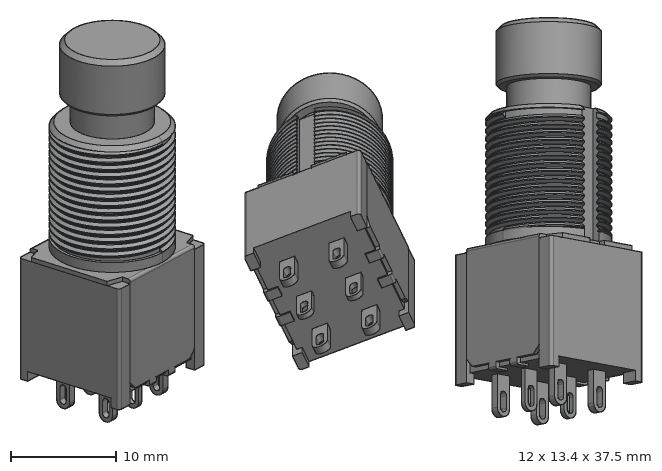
import cadquery as cq

HOUSING_X = 12.0
HOUSING_Y = 13.4
LEG_BOTTOM_Z = 3.0
BASE_Z = 4.0
LEG_X = 1.0
CORNER_RADIUS = 0.3

SHEET = 0.45
BRACKET_TOP_Z = 16.0
FLANGE_Y = 10.0
FLANGE_BOTTOM_Z = 4.45
FLANGE_CHAMFER = 0.8
BEND_RADIUS = 0.3
CUTOUT_INNER_X = 5.05
CUTOUT_OUTER_X = 4.55
TAB_Y = 1.0
TAB_SPACING = 2.92
TAB_X = 1.5
TAB_THICKNESS = 0.22

THREAD_DIAMETER = 12.0
THREAD_DEPTH = 0.35
THREAD_PITCH = 0.75
THREAD_TURNS = 15.0
THREAD_ROOT_WIDTH = 0.65
THREAD_CREST_WIDTH = 0.1
THREAD_OVERLAP = 0.05
COLLAR_HEIGHT = 1.0
BUSHING_LENGTH = 12.98
BUSHING_CHAMFER = 0.45
KEYWAY_WIDTH = 1.88
KEYWAY_FLOOR_Y = 5.15
KEY_NOTCH_Y = 6.05

TOTAL_HEIGHT = 37.5
BUTTON_DIAMETER = 10.0
BUTTON_BOTTOM_Z = 31.72
BUTTON_TOP_CHAMFER = 0.5
BUTTON_BOTTOM_CHAMFER = 0.25
STEM_DIAMETER = 8.0

TERMINAL_WIDTH = 1.58
TERMINAL_COLUMN_X = 2.55
TERMINAL_ROW_Y = 3.95
OUTER_TERMINAL_THICKNESS = 0.8
MIDDLE_TERMINAL_THICKNESS = 0.52
EYE_WIDTH = 0.75
EYE_BOTTOM_Z = 0.45
EYE_TOP_Z = 2.45

HOUSING_TOP_Z = BRACKET_TOP_Z - SHEET
BUSHING_TOP_Z = BRACKET_TOP_Z + BUSHING_LENGTH


def box(size_x, size_y, z_bottom, z_top, center=(0, 0)):
    """Upright box between two heights, centred on a point in plan."""
    return (
        cq.Workplane("XY", origin=(*center, z_bottom))
        .rect(size_x, size_y)
        .extrude(z_top - z_bottom)
    )


def cylinder(diameter, z_bottom, z_top):
    """Upright cylinder on the main axis."""
    return cq.Workplane("XY", origin=(0, 0, z_bottom)).circle(diameter / 2).extrude(z_top - z_bottom)


def make_housing():
    """Block with four corner legs and a shallow recess for each bracket flange."""
    block = box(HOUSING_X, HOUSING_Y, LEG_BOTTOM_Z, HOUSING_TOP_Z).edges("|Z").fillet(CORNER_RADIUS)

    between_legs_x = box(HOUSING_X - 2 * LEG_X, HOUSING_Y, LEG_BOTTOM_Z, BASE_Z)
    between_legs_y = box(HOUSING_X, FLANGE_Y, LEG_BOTTOM_Z, BASE_Z)
    block = block.cut(between_legs_x).cut(between_legs_y)

    for side in (-1, 1):
        flange_center = (side * (HOUSING_X - SHEET) / 2, 0)
        block = block.cut(box(SHEET, FLANGE_Y, BASE_Z, HOUSING_TOP_Z, flange_center))
    return block


def make_bracket_flange(side):
    """Side flange with chamfered lower corners and two tabs folded under the base."""
    center_x = side * (HOUSING_X - SHEET) / 2
    flange = (
        box(SHEET, FLANGE_Y, FLANGE_BOTTOM_Z, HOUSING_TOP_Z, (center_x, 0))
        .edges("|X and <Z")
        .chamfer(FLANGE_CHAMFER)
    )
    tab_bottom_z = BASE_Z - TAB_THICKNESS
    outer_face = ">X" if side > 0 else "<X"
    for tab_y in (-TAB_SPACING / 2, TAB_SPACING / 2):
        upright = box(SHEET, TAB_Y, tab_bottom_z, FLANGE_BOTTOM_Z, (center_x, tab_y))
        fold = box(TAB_X, TAB_Y, tab_bottom_z, BASE_Z, (side * (HOUSING_X - TAB_X) / 2, tab_y))
        tab = upright.union(fold).faces(outer_face).edges("<Z").fillet(TAB_THICKNESS)
        flange = flange.union(tab)
    return flange


def make_bracket():
    """Top plate with corner cutouts and a rear key notch, and two side flanges."""
    half_x = HOUSING_X / 2
    half_y = HOUSING_Y / 2
    half_flange = FLANGE_Y / 2
    plate = (
        cq.Workplane("XY", origin=(0, 0, HOUSING_TOP_Z))
        .moveTo(half_x, -half_flange)
        .lineTo(half_x, half_flange)
        .lineTo(CUTOUT_INNER_X, half_flange)
        .lineTo(CUTOUT_OUTER_X, half_y)
        .lineTo(-CUTOUT_OUTER_X, half_y)
        .lineTo(-CUTOUT_INNER_X, half_flange)
        .lineTo(-half_x, half_flange)
        .lineTo(-half_x, -half_flange)
        .lineTo(-CUTOUT_INNER_X, -half_flange)
        .lineTo(-CUTOUT_OUTER_X, -half_y)
        .lineTo(CUTOUT_OUTER_X, -half_y)
        .lineTo(CUTOUT_INNER_X, -half_flange)
        .close()
        .extrude(SHEET)
    )
    plate = plate.faces("<X or >X").edges(">Z").fillet(BEND_RADIUS)

    notch_depth = half_y - KEY_NOTCH_Y
    notch = box(KEYWAY_WIDTH, notch_depth, HOUSING_TOP_Z, BRACKET_TOP_Z, (0, half_y - notch_depth / 2))
    bracket = plate.cut(notch)
    for side in (-1, 1):
        bracket = bracket.union(make_bracket_flange(side))
    return bracket


def make_thread_ridge(start_z):
    """Helical ridge of trapezoid section, rooted slightly inside the bushing core."""
    crest_radius = THREAD_DIAMETER / 2
    root_radius = crest_radius - THREAD_DEPTH
    inner_radius = root_radius - THREAD_OVERLAP
    crest_half_width = THREAD_CREST_WIDTH / 2
    flank_slope = (THREAD_ROOT_WIDTH - THREAD_CREST_WIDTH) / 2 / THREAD_DEPTH
    inner_half_width = crest_half_width + flank_slope * (crest_radius - inner_radius)
    path = cq.Wire.makeHelix(THREAD_PITCH, THREAD_PITCH * THREAD_TURNS, root_radius)
    ridge = (
        cq.Workplane("XZ")
        .moveTo(inner_radius, -inner_half_width)
        .lineTo(crest_radius, -crest_half_width)
        .lineTo(crest_radius, crest_half_width)
        .lineTo(inner_radius, inner_half_width)
        .close()
        .sweep(cq.Workplane(path), isFrenet=True)
    )
    return ridge.translate((0, 0, start_z))


def make_bushing():
    """Threaded sleeve with a plain collar, a chamfered rim and a rear keyway."""
    collar_top_z = BRACKET_TOP_Z + COLLAR_HEIGHT
    rim_bottom_z = BUSHING_TOP_Z - BUSHING_CHAMFER
    core = cylinder(THREAD_DIAMETER - 2 * THREAD_DEPTH, BRACKET_TOP_Z, rim_bottom_z)
    collar = cylinder(THREAD_DIAMETER, BRACKET_TOP_Z, collar_top_z)
    rim_radius = THREAD_DIAMETER / 2
    rim = cq.Workplane(
        cq.Solid.makeCone(
            rim_radius, rim_radius - BUSHING_CHAMFER, BUSHING_CHAMFER, cq.Vector(0, 0, rim_bottom_z)
        )
    )

    bushing = core.union(collar).union(rim)
    bushing = bushing.union(make_thread_ridge(collar_top_z), clean=False)

    keyway_depth = THREAD_DIAMETER / 2 - KEYWAY_FLOOR_Y
    keyway_center = (0, KEYWAY_FLOOR_Y + keyway_depth / 2)
    keyway = box(KEYWAY_WIDTH, keyway_depth, BRACKET_TOP_Z, BUSHING_TOP_Z, keyway_center)
    bore = cylinder(STEM_DIAMETER, BRACKET_TOP_Z, BUSHING_TOP_Z)
    return bushing.cut(keyway, clean=False).cut(bore, clean=False)


def make_plunger():
    """Button with chamfered rims on a stem that fills the bushing bore."""
    button = (
        cylinder(BUTTON_DIAMETER, BUTTON_BOTTOM_Z, TOTAL_HEIGHT)
        .faces(">Z")
        .chamfer(BUTTON_TOP_CHAMFER)
        .faces("<Z")
        .chamfer(BUTTON_BOTTOM_CHAMFER)
    )
    stem = cylinder(STEM_DIAMETER, BRACKET_TOP_Z, BUTTON_BOTTOM_Z)
    return button.union(stem)


def make_terminal(x, y, thickness):
    """Flat lug with a rounded tip and an oblong eye, hanging from the base."""
    tip_radius = TERMINAL_WIDTH / 2
    front = cq.Workplane("XZ", origin=(x, y + thickness / 2, 0))
    lug = (
        front.moveTo(-tip_radius, BASE_Z)
        .lineTo(-tip_radius, tip_radius)
        .threePointArc((0, 0), (tip_radius, tip_radius))
        .lineTo(tip_radius, BASE_Z)
        .close()
        .extrude(thickness)
    )
    eye = (
        front.center(0, (EYE_BOTTOM_Z + EYE_TOP_Z) / 2)
        .slot2D(EYE_TOP_Z - EYE_BOTTOM_Z, EYE_WIDTH, 90)
        .extrude(thickness)
    )
    return lug.cut(eye)


def make_terminals():
    """Two columns of three terminals; the middle row is thinner."""
    rows = (
        (-TERMINAL_ROW_Y, OUTER_TERMINAL_THICKNESS),
        (0, MIDDLE_TERMINAL_THICKNESS),
        (TERMINAL_ROW_Y, OUTER_TERMINAL_THICKNESS),
    )
    terminals = []
    for x in (-TERMINAL_COLUMN_X, TERMINAL_COLUMN_X):
        for y, thickness in rows:
            terminals.append(make_terminal(x, y, thickness).val())
    return terminals


housing = make_housing()
bracket = make_bracket()
bushing = make_bushing()
plunger = make_plunger()
terminals = make_terminals()

bodies = [body.solids().val() for body in (housing, bracket, bushing, plunger)]

result = cq.Compound.makeCompound([*bodies, *terminals])